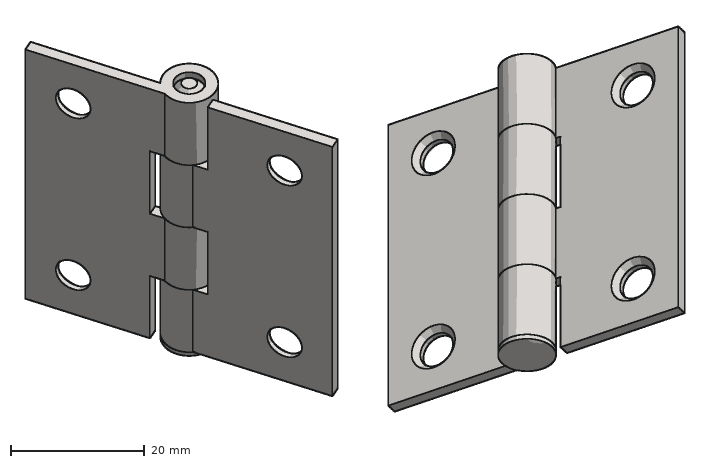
import cadquery as cq


leaf_size = 50.8
leaf_thickness = 1.9
leaf_front_y = -3.65
leaf_rear_y = leaf_front_y + leaf_thickness
half_size = leaf_size / 2

knuckle_count = 4
knuckle_length = leaf_size / knuckle_count
knuckle_radius = 4.35
knuckle_clearance = 0.4
notch_radius = knuckle_radius + knuckle_clearance

hole_diameter = 5.7
countersink_depth = 0.95
hole_inset = 7.9
hole_offset = half_size - hole_inset

pin_radius = 2.4
pin_chamfer = 1.2
head_radius = knuckle_radius
head_rim_height = 0.8
head_dome_height = 0.85


def make_screw_hole_cutter():
    """Screw hole along Y, straight at the front face and countersunk at the rear face."""
    hole_radius = hole_diameter / 2
    cone_start_y = leaf_rear_y - countersink_depth
    return (
        cq.Workplane("XY")
        .moveTo(0, leaf_front_y)
        .lineTo(hole_radius, leaf_front_y)
        .lineTo(hole_radius, cone_start_y)
        .lineTo(hole_radius + countersink_depth, leaf_rear_y)
        .lineTo(0, leaf_rear_y)
        .close()
        .revolve(360, (0, 0, 0), (0, 1, 0))
    )


def make_leaf(side, first_knuckle):
    """Leaf on the -X (side = -1) or +X (side = 1) side, with every second knuckle from the bottom."""
    leaf = (
        cq.Workplane("XY")
        .box(half_size, leaf_thickness, leaf_size, centered=(True, False, True))
        .translate((side * half_size / 2, leaf_front_y, 0))
    )

    for index in range(1 - first_knuckle, knuckle_count, 2):
        notch = (
            cq.Workplane("XY")
            .box(2 * notch_radius, 2 * notch_radius, knuckle_length, centered=(True, True, False))
            .translate((0, 0, index * knuckle_length - half_size))
        )
        leaf = leaf.cut(notch)

    for index in range(first_knuckle, knuckle_count, 2):
        knuckle = (
            cq.Workplane("XY", origin=(0, 0, index * knuckle_length - half_size))
            .circle(knuckle_radius)
            .extrude(knuckle_length)
        )
        leaf = leaf.union(knuckle)

    bore = cq.Workplane("XY").circle(pin_radius).extrude(half_size, both=True)
    leaf = leaf.cut(bore)

    for z in (-hole_offset, hole_offset):
        leaf = leaf.cut(make_screw_hole_cutter().translate((side * hole_offset, 0, z)))
    return leaf


def make_pin():
    """Pin with a domed head under the leaves and a chamfered end flush with their top."""
    shank = (
        cq.Workplane("XY", origin=(0, 0, -half_size))
        .circle(pin_radius)
        .extrude(leaf_size)
        .faces(">Z")
        .chamfer(pin_chamfer)
    )

    dome_radius = (head_radius**2 + head_dome_height**2) / (2 * head_dome_height)
    rim_bottom = -half_size - head_rim_height
    dome_bottom = rim_bottom - head_dome_height
    mid_radius = head_radius / 2
    dome_centre = dome_bottom + dome_radius
    mid_z = dome_centre - (dome_radius**2 - mid_radius**2) ** 0.5
    head = (
        cq.Workplane("XZ")
        .moveTo(0, -half_size)
        .lineTo(head_radius, -half_size)
        .lineTo(head_radius, rim_bottom)
        .threePointArc((mid_radius, mid_z), (0, dome_bottom))
        .close()
        .revolve(360, (0, 0, 0), (0, 1, 0))
    )
    return shank.union(head)


left_leaf = make_leaf(side=-1, first_knuckle=1)
right_leaf = make_leaf(side=1, first_knuckle=0)
pin = make_pin()

result = cq.Compound.makeCompound([left_leaf.val(), right_leaf.val(), pin.val()])